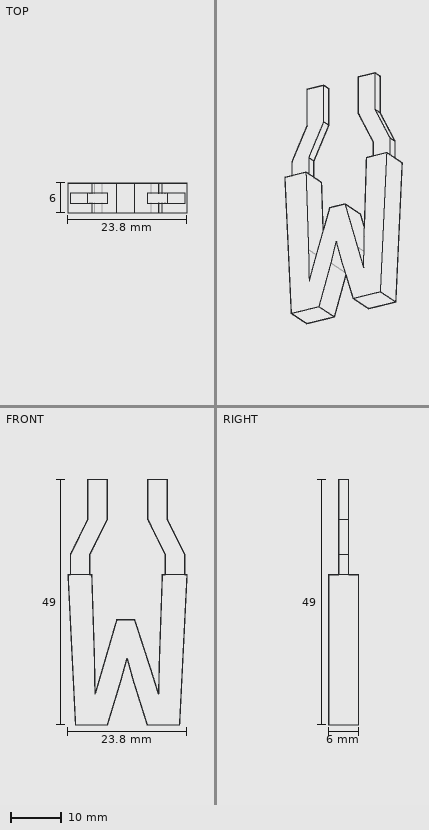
import cadquery as cq


total_height = 49.0
total_width = 23.75
body_thickness = 6.0

leg_top_z = 30.0
peak_top_z = 21.0
valley_z = 6.2
notch_apex_z = 13.35
leg_bend_z = 12.95
peak_bend_z = 10.95
notch_bend_z = 8.85

leg_top_half_width = total_width / 2
base_half_width = 10.4

left_leg_inner_x = -7.1
left_leg_bend_x = -6.55
left_valley_x = -6.45
left_peak_bend_x = -5.1
left_peak_x = -2.15
right_peak_x = 1.4
right_peak_bend_x = 4.7
right_valley_x = 6.15
right_leg_bend_x = 6.3
right_leg_inner_x = 6.9
right_base_inner_x = 3.9
right_notch_bend_x = 1.15
notch_apex_x = -0.1
left_notch_bend_x = -1.3
left_base_inner_x = -4.0

pin_width = 3.9
pin_thickness = 2.0
pin_foot_outer_x = 11.4
pin_tip_outer_x = 7.95
pin_foot_length = 4.0
pin_tip_length = 8.0


def extrude_along_y(outline, thickness):
    """Extrude an XZ outline to the given thickness, centred on Y = 0."""
    return cq.Workplane("XZ").polyline(outline).close().extrude(thickness / 2, both=True)


def make_body():
    """W-shaped body; its sloping inner faces each bend slightly part way."""
    outline = [
        (-base_half_width, 0),
        (-leg_top_half_width, leg_top_z),
        (left_leg_inner_x, leg_top_z),
        (left_leg_bend_x, leg_bend_z),
        (left_valley_x, valley_z),
        (left_peak_bend_x, peak_bend_z),
        (left_peak_x, peak_top_z),
        (right_peak_x, peak_top_z),
        (right_peak_bend_x, peak_bend_z),
        (right_valley_x, valley_z),
        (right_leg_bend_x, leg_bend_z),
        (right_leg_inner_x, leg_top_z),
        (leg_top_half_width, leg_top_z),
        (base_half_width, 0),
        (right_base_inner_x, 0),
        (right_notch_bend_x, notch_bend_z),
        (notch_apex_x, notch_apex_z),
        (left_notch_bend_x, notch_bend_z),
        (left_base_inner_x, 0),
    ]
    return extrude_along_y(outline, body_thickness)


def make_pin(side):
    """Flat pin on the leg top, cranked towards X = 0; side is -1 (left) or 1 (right)."""
    lower_bend_z = leg_top_z + pin_foot_length
    upper_bend_z = total_height - pin_tip_length
    foot_inner_x = pin_foot_outer_x - pin_width
    tip_inner_x = pin_tip_outer_x - pin_width
    outline = [
        (side * pin_foot_outer_x, leg_top_z),
        (side * pin_foot_outer_x, lower_bend_z),
        (side * pin_tip_outer_x, upper_bend_z),
        (side * pin_tip_outer_x, total_height),
        (side * tip_inner_x, total_height),
        (side * tip_inner_x, upper_bend_z),
        (side * foot_inner_x, lower_bend_z),
        (side * foot_inner_x, leg_top_z),
    ]
    return extrude_along_y(outline, pin_thickness)


body = make_body()
pins = [make_pin(side) for side in (-1, 1)]

result = cq.Compound.makeCompound([body.val(), *[pin.val() for pin in pins]])